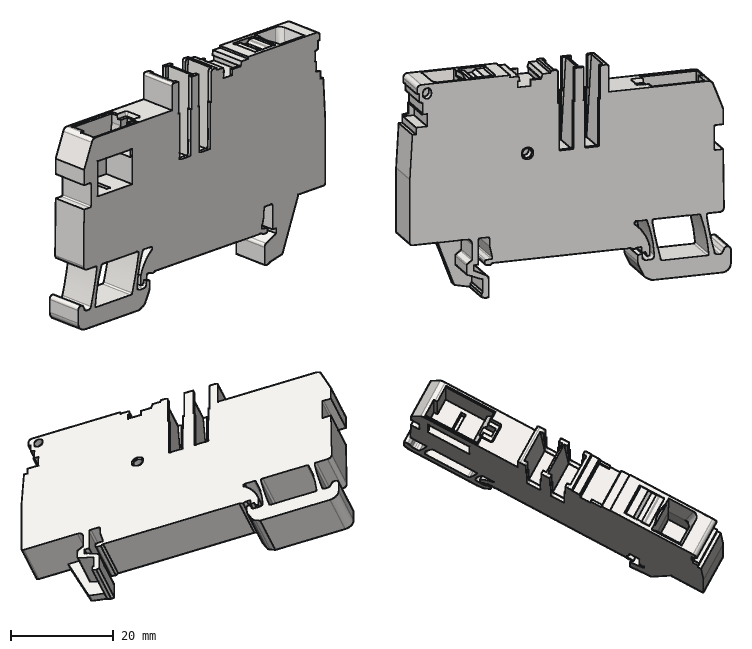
import cadquery as cq
import math


THROUGH = "through"

width = 8.1
length = 66.43
height = 45.15
side = width / 2

belly_z = 12.45
root_z = belly_z + 0.6
seat_z = 7.05
deck_z = 39.55
front_y = 1.42
post_y = 25.25

slot_floor_z = 28.6
slot_step_z = 38.35
slot_centres_y = (34.05, 28.75)
slot_width = 2.95
slot_mouth_width = 3.4
slot_corner_r = 0.3
panel_width = 6.5
panel_floor_z = slot_floor_z - 0.3
panel_recess = 0.75

groove_floor_z = 42.5
groove_lip_z = 43.7
groove_end_y = (39.1, 44.1)
lip_split_y = 41.4
lip_thickness = 0.5
end_groove_floor_y = 62.85
end_groove_z = (36.5, 39.05)

funnel_x = (-3.5, 3.55)
funnel_y = (54.65, 61.35)
funnel_bulge = 0.4
funnel_corner_r = 1.3
funnel_floor_x = (-2.25, 2.25)
funnel_floor_y = (55.25, 60.25)
funnel_depth = 6.0
shaft_depth = 14.0
driver_x = (-3.1, 3.1)
driver_y = (48.4, 53.9)
driver_shelf = 0.4
driver_end_run = 0.3
driver_groove = 1.0

cavity_x = (-3.3, 3.5)
cavity_y = (4.5, 16.0)
cavity_floor_z = 27.0
cavity_throat_y = 14.55
cavity_curve_z = (32.5, 37.5)
cavity_curve_bend = 0.3
cavity_rim = 0.25
ledge_x = (-3.6, 0.05)
ledge_y = 5.3
side_opening_top_z = 34.4
floor_slit_x = (-2.5, 2.4)
floor_slit_y = (9.2, 10.2)
floor_slit_depth = 3.0

notch_x = (-1.9, 2.2)
notch_y = 18.6
notch_depth = 0.9
notch_corner_r = 0.5
notch_taper = 20.0
key_x = (-0.8, 1.0)
key_y = 17.8
key_depth = 6.0

pin_hole = (42.1, 28.75)
pin_hole_d = 1.9
pin_hole_mouth_d = 2.45
pin_hole_depth = 2.0
oval_hole = (62.85, 43.25)
oval_hole_width = 1.8
oval_hole_height = 2.15
oval_hole_depth = 1.5

web_thickness = 1.5


def round_corner(before, corner, after):
    """Start, middle and end of the arc that rounds a corner (y, z, radius) between its neighbours."""
    here = cq.Vector(*corner[:2])
    back = (cq.Vector(*before[:2]) - here).normalized()
    ahead = (cq.Vector(*after[:2]) - here).normalized()
    half_angle = back.getAngle(ahead) / 2
    setback = corner[2] / math.tan(half_angle)
    apex_gap = corner[2] / math.sin(half_angle) - corner[2]
    stops = (here + back * setback, here + (back + ahead).normalized() * apex_gap, here + ahead * setback)
    return [stop.toTuple()[:2] for stop in stops]


def rounded_outline(corners, x_start):
    """
    Closed wire in the YZ plane at x_start. A corner is (y, z) when sharp, (y, z, radius) when rounded,
    or (y, z, THROUGH) for a point that an arc between its two neighbours passes through.
    The first corner is sharp or rounded.
    """
    plan = cq.Workplane("YZ", origin=(x_start, 0, 0))
    arc_point = None
    for i, corner in enumerate(corners):
        if corner[2:] == (THROUGH,):
            arc_point = corner[:2]
            continue
        stops = [corner[:2]]
        if len(corner) == 3:
            stops = round_corner(corners[i - 1], corner, corners[(i + 1) % len(corners)])
        if i == 0:
            plan = plan.moveTo(*stops[0])
        elif arc_point:
            plan = plan.threePointArc(arc_point, stops[0])
            arc_point = None
        else:
            plan = plan.lineTo(*stops[0])
        if len(stops) == 3:
            plan = plan.threePointArc(stops[1], stops[2])
    return plan.close()


def plate(corners, x_range=(-side, side)):
    """Plate with the given YZ outline, spanning x_range."""
    return rounded_outline(corners, x_range[0]).extrude(x_range[1] - x_range[0])


def block(x_range, y_range, z_range):
    """Axis-aligned box between the given limits."""
    corner = (x_range[0], y_range[0], z_range[0])
    size = (x_range[1] - x_range[0], y_range[1] - y_range[0], z_range[1] - z_range[0])
    return cq.Workplane("XY").box(*size, centered=False).translate(corner)


def slot_corners(centre_y, entry_r, exit_r):
    """Outline corners of one bridge slot, walked from +Y to -Y."""
    narrow = slot_width / 2
    wide = slot_mouth_width / 2
    entry = (centre_y + wide, height) + entry_r
    leave = (centre_y - wide, height) + exit_r
    return [
        entry,
        (centre_y + wide, slot_step_z),
        (centre_y + narrow, slot_step_z),
        (centre_y + narrow, slot_floor_z, slot_corner_r),
        (centre_y - narrow, slot_floor_z, slot_corner_r),
        (centre_y - narrow, slot_step_z),
        (centre_y - wide, slot_step_z),
        leave,
    ]


def make_housing():
    back_end = [
        (length, belly_z, 0.5),
        (length, 26.0),
        (65.9, 35.1),
        (65.15, 35.1),
        (65.15, 36.75, 0.2),
        (64.0, 36.95),
        (64.0, 39.0),
        (63.75, 39.2),
        (63.75, 41.3),
        (64.5, 41.65),
        (64.5, 43.3),
        (64.95, 43.3),
        (64.95, height, 0.9),
    ]
    upper_deck = [
        (45.7, height),
        (45.7, 44.7),
        (43.9, 44.7),
        (43.7, groove_lip_z),
        (39.3, groove_lip_z),
        (38.95, 44.7),
        (37.4, 44.7),
        (37.2, height),
    ]
    slots = slot_corners(slot_centres_y[0], (0.5,), ())
    slots += slot_corners(slot_centres_y[1], (), (0.4,))
    front_end = [
        (post_y, height, 0.5),
        (post_y, deck_z),
        (3.95, deck_z, 1.15),
        (1.6, 33.6),
        (1.6, 30.35),
        (3.45, 30.35, 0.3),
        (3.45, 25.25, 0.3),
        (1.6, 25.25),
        (front_y, belly_z, 0.9),
    ]
    return plate(back_end + upper_deck + slots + front_end)


def make_latch_leg():
    leg = plate([
        (55.0, root_z),
        (55.0, belly_z),
        (53.5, belly_z, 1.2),
        (53.5, 8.2, 0.3),
        (54.7, 7.3, 0.3),
        (54.7, 5.25, 0.3),
        (51.3, 3.9, 0.2),
        (51.3, 1.4),
        (51.6, 1.0),
        (51.6, 0.3),
        (50.75, 0.0),
        (50.1, 0.15),
        (50.1, 4.4, 0.8),
        (53.2, 5.95),
        (53.2, seat_z),
        (52.25, seat_z),
        (52.25, belly_z, 0.4),
        (51.7, belly_z),
        (51.7, root_z),
    ])
    web = plate([
        (59.2, root_z),
        (59.2, belly_z, 0.4),
        (54.9, 1.15, 0.4),
        (50.7, 0.2),
        (50.7, 4.4),
        (54.0, 6.0),
        (54.0, 7.5),
        (53.0, 8.4),
        (53.0, root_z),
    ], (side - web_thickness, side))
    return leg.union(web)


def make_rail_seat():
    return plate([
        (50.7, root_z),
        (50.7, belly_z),
        (49.95, belly_z, 0.4),
        (49.9, 10.5),
        (49.3, 7.95, 0.2),
        (50.9, 7.8, 0.25),
        (50.9, 6.8, 0.4),
        (49.8, 6.7),
        (49.3, seat_z),
        (20.8, seat_z),
        (20.0, 6.75),
        (19.2, seat_z),
        (18.5, seat_z, 0.2),
        (18.45, 5.9),
        (17.7, 5.9),
        (17.3, 5.05),
        (16.85, 5.05),
        (16.85, 7.2),
        (17.5, 8.9, THROUGH),
        (20.1, 12.1, 0.3),
        (19.6, belly_z),
        (19.6, root_z),
    ])


def make_spring_foot():
    foot = plate([
        (18.2, root_z),
        (18.2, belly_z),
        (17.4, belly_z, 0.4),
        (16.4, 9.0, THROUGH),
        (15.75, 4.25, 0.8),
        (18.3, 4.25, 0.8),
        (18.35, 5.65),
        (19.25, 5.45),
        (19.25, 3.6, 2.0),
        (17.9, 0.8, 1.5),
        (16.4, 0.0),
        (0.0, 0.0, 1.8),
        (0.0, 5.25, 0.75),
        (1.2, 5.25, 0.6),
        (1.95, 3.85, 0.6),
        (3.3, 3.85, 0.7),
        (4.4, 8.5, THROUGH),
        (5.1, belly_z, 0.4),
        (4.4, belly_z),
        (4.4, root_z),
    ])
    window = plate([
        (16.35, belly_z, 0.4),
        (15.5, 8.1, THROUGH),
        (14.45, 3.85, 0.4),
        (4.55, 3.85, 0.3),
        (5.25, 8.5, THROUGH),
        (6.35, belly_z, 0.4),
    ])
    return foot, window


def slot_panels():
    """Wedges that lean the middle of each slot wall back towards the top."""
    floor_half = slot_width / 2
    top_half = slot_mouth_width / 2 + panel_recess
    panel_x = (-panel_width / 2, panel_width / 2)
    wedges = []
    for centre_y in slot_centres_y:
        wedges.append(plate([
            (centre_y + floor_half, panel_floor_z),
            (centre_y - floor_half, panel_floor_z),
            (centre_y - top_half, height),
            (centre_y + top_half, height),
        ], panel_x))
    return wedges[0].union(wedges[1])


def marking_grooves():
    """Top groove with diagonally staggered lips, and the end groove open to the -X side."""
    groove_z = (groove_floor_z, groove_lip_z)
    plus_half = block((-side, side - lip_thickness), (lip_split_y, groove_end_y[1]), groove_z)
    minus_half = block((lip_thickness - side, side), (groove_end_y[0], lip_split_y), groove_z)
    end_groove = block((-side, side - lip_thickness), (end_groove_floor_y, length), end_groove_z)
    return plus_half.union(minus_half).union(end_groove)


def frustum(top_x, top_y, top_z, bottom_x, bottom_y, bottom_z):
    """Straight-sided funnel between two rectangles at different heights."""
    rims = []
    for x_range, y_range, z in ((bottom_x, bottom_y, bottom_z), (top_x, top_y, top_z)):
        rim = cq.Wire.makePolygon([
            cq.Vector(x_range[0], y_range[0], z),
            cq.Vector(x_range[1], y_range[0], z),
            cq.Vector(x_range[1], y_range[1], z),
            cq.Vector(x_range[0], y_range[1], z),
        ], close=True)
        rims.append(rim)
    return cq.Workplane(cq.Solid.makeLoft(rims, True))


def wire_funnel():
    floor_z = height - funnel_depth
    cone = frustum(funnel_x, funnel_y, height, funnel_floor_x, funnel_floor_y, floor_z)
    mid_depth_corner = (funnel_x[0], funnel_y[1], height - funnel_depth / 2)
    cone = cone.edges(cq.selectors.NearestToPointSelector(mid_depth_corner)).fillet(funnel_corner_r)
    middle_x = sum(funnel_x) / 2
    bulge = (
        cq.Workplane("XY", origin=(0, 0, height))
        .moveTo(funnel_x[0] + funnel_corner_r, funnel_y[0])
        .threePointArc((middle_x, funnel_y[0] - funnel_bulge), (funnel_x[1] - funnel_corner_r, funnel_y[0]))
        .lineTo(funnel_floor_x[1], funnel_floor_y[0])
        .lineTo(funnel_floor_x[0], funnel_floor_y[0])
        .close()
        .extrude(-driver_groove)
    )
    shaft = block(funnel_floor_x, funnel_floor_y, (height - shaft_depth, floor_z))
    return cone.union(bulge).union(shaft)


def driver_recess():
    return plate([
        (driver_y[1], height),
        (driver_y[1], height - driver_shelf),
        (52.7, height - driver_shelf, 0.3),
        (52.1, height - driver_groove),
        (51.1, height - driver_groove),
        (50.35, height - driver_shelf),
        (driver_y[0] + driver_end_run, height - driver_shelf),
        (driver_y[0], height),
    ], driver_x)


def deck_cavity():
    curve_low, curve_high = cavity_curve_z
    throat_y, mouth_y = cavity_throat_y, cavity_y[1]
    bend_y = mouth_y - cavity_curve_bend * (mouth_y - throat_y)
    pocket = (
        cq.Workplane("YZ", origin=(cavity_x[0], 0, 0))
        .moveTo(cavity_y[0], cavity_floor_z)
        .lineTo(throat_y, cavity_floor_z)
        .lineTo(throat_y, curve_low)
        .threePointArc((bend_y, (curve_low + curve_high) / 2), (mouth_y, curve_high))
        .lineTo(mouth_y, deck_z)
        .lineTo(cavity_y[0], deck_z)
        .close()
        .extrude(cavity_x[1] - cavity_x[0])
    )
    ledge = block(ledge_x, (cavity_y[0], ledge_y), (cavity_floor_z, deck_z))
    rim_x = (cavity_x[0] - cavity_rim, cavity_x[1] + cavity_rim)
    rim_y = (cavity_y[0], mouth_y + cavity_rim)
    rim = frustum(rim_x, rim_y, deck_z, cavity_x, cavity_y, deck_z - cavity_rim)
    side_opening = block((0, side), (ledge_y, throat_y), (cavity_floor_z, side_opening_top_z))
    slit = block(floor_slit_x, floor_slit_y, (cavity_floor_z - floor_slit_depth, cavity_floor_z))
    return pocket.union(rim).cut(ledge).union(side_opening).union(slit)


def key_notch():
    size = (notch_x[1] - notch_x[0], notch_y - cavity_throat_y)
    centre = (sum(notch_x) / 2, (notch_y + cavity_throat_y) / 2)
    mouth = cq.Sketch().rect(*size).vertices(">Y").fillet(notch_corner_r)
    recess = (
        cq.Workplane("XY", origin=(*centre, deck_z))
        .placeSketch(mouth)
        .extrude(-notch_depth, taper=notch_taper)
    )
    key = block(key_x, (cavity_throat_y, key_y), (deck_z - key_depth, deck_z))
    return recess.union(key)


def side_holes():
    """Countersunk round hole and small oval hole, both blind from the -X side."""
    mouth_depth = (pin_hole_mouth_d - pin_hole_d) / 2
    side_plane = cq.Workplane("YZ", origin=(-side, 0, 0))
    pin = side_plane.center(*pin_hole).circle(pin_hole_d / 2).extrude(pin_hole_depth)
    mouth = cq.Workplane(cq.Solid.makeCone(
        pin_hole_mouth_d / 2,
        pin_hole_d / 2,
        mouth_depth,
        cq.Vector(-side, *pin_hole),
        cq.Vector(1, 0, 0),
    ))
    oval = side_plane.center(*oval_hole).ellipse(oval_hole_width / 2, oval_hole_height / 2)
    return pin.union(mouth).union(oval.extrude(oval_hole_depth))


foot, foot_window = make_spring_foot()
body = make_housing().union(make_latch_leg()).union(make_rail_seat()).union(foot)
cutters = [
    foot_window,
    slot_panels(),
    marking_grooves(),
    wire_funnel(),
    driver_recess(),
    deck_cavity(),
    key_notch(),
    side_holes(),
]
for cutter in cutters:
    body = body.cut(cutter)

result = body